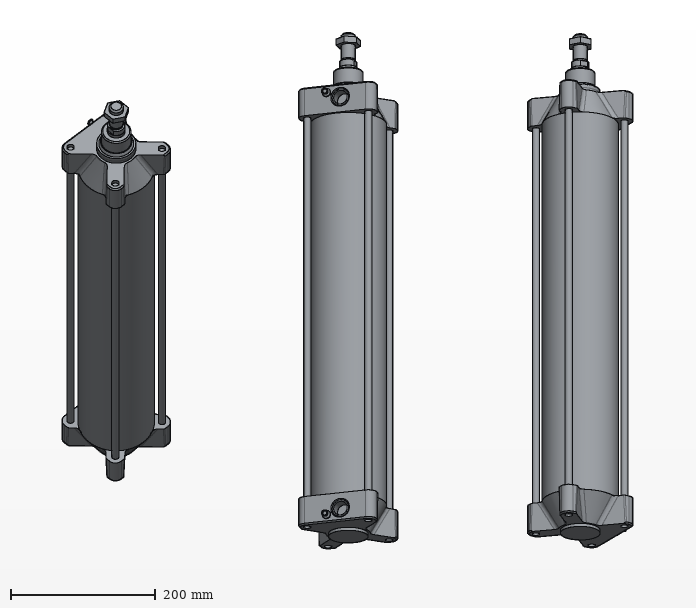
import cadquery as cq
import math

total_height = 733.0
spigot_height = 4.5
cap_height = 41.0
top_cap_outer_z = 642.0
collar_bevel_z = 646.5
collar_top_z = 652.0
gland_base_z = 656.0
gland_top_z = 679.0
bottom_cap_outer_z = spigot_height

cap_width = 113.0
cap_corner_radius = 12.0
cap_edge_chamfer = 2.05
arm_half_width = 12.0
arm_draft = 2.0
arm_end_radius = 3.0
pocket_floor_radius = 7.0
pocket_cone_top_radius = 31.0

pick_margin = 1.0

barrel_diameter = 106.0
tie_rod_diameter = 10.0
tie_rod_offset = 45.0
screw_hole_diameter = 10.0
screw_hole_depth = 6.0

spigot_diameter = 55.0
collar_diameter = 55.0
collar_bevel_diameter = 54.0
collar_cone_diameter = 48.5
gland_root_diameter = 43.0
gland_diameter = 41.0
gland_chamfer = 1.8

port_y = -7.0
port_depth_from_end = 19.0
port_diameter = 20.0
port_seat_diameter = 24.0
port_mouth_diameter = 27.0
port_mouth_depth = 1.5
port_depth = 18.0
vent_y = 12.5
vent_depth_from_end = 11.0
vent_base_diameter = 12.0
vent_neck_diameter = 6.0
vent_head_diameter = 9.0
vent_base_length = 1.5
vent_cone_length = 1.8
vent_head_length = 1.1
vent_reach = 9.0

rod_diameter = 25.0
rod_flats_diameter = 24.0
rod_flats_width = 21.0
rod_flats_base_z = 684.0
rod_flats_top_z = 693.0
neck_diameter = 18.0
thread_diameter = 20.0
thread_base_z = 695.5
thread_tip_chamfer = 2.6

nut_flats_width = 30.0
nut_base_z = 716.0
nut_height = 9.0

half_width = cap_width / 2
nut_corner_diameter = nut_flats_width / math.cos(math.pi / 6)
top_cap_inner_z = top_cap_outer_z - cap_height
bottom_cap_inner_z = bottom_cap_outer_z + cap_height
barrel_length = top_cap_inner_z - bottom_cap_inner_z


def cylinder(diameter, base_z, top_z):
    return cq.Workplane("XY").workplane(offset=base_z).circle(diameter / 2).extrude(top_z - base_z)


def revolved(profile):
    """Turn a closed (radius, height) outline about the Z axis."""
    return cq.Workplane("XZ").polyline(profile).close().revolve(360, (0, 0, 0), (0, 1, 0))


def pocket(angle):
    """Recess between two diagonal arms; its floor is a cone that widens towards the barrel."""
    arm_offset = arm_half_width * math.sqrt(2)
    reach = cap_width
    wedge = (
        cq.Workplane("XY")
        .workplane(offset=cap_height)
        .polyline([(arm_offset, 0), (reach, reach - arm_offset), (reach, arm_offset - reach)])
        .close()
        .extrude(-cap_height, taper=arm_draft)
    )
    cone = revolved(
        [(0, 0), (barrel_diameter / 2, 0), (pocket_cone_top_radius, cap_height), (0, cap_height)]
    )
    floor_corners = cq.selectors.BoxSelector(
        (0, -half_width, pick_margin), (half_width, half_width, cap_height - pick_margin)
    )
    recess = wedge.cut(cone).edges(floor_corners).fillet(pocket_floor_radius)
    return recess.rotate((0, 0, 0), (0, 0, 1), angle)


def port():
    """Blind port with a shallow conical seat around its mouth, along +X from the origin."""
    return revolved(
        [
            (0, 0),
            (port_mouth_diameter / 2, 0),
            (port_seat_diameter / 2, port_mouth_depth),
            (port_diameter / 2, port_mouth_depth),
            (port_diameter / 2, port_depth),
            (0, port_depth),
        ]
    ).rotate((0, 0, 0), (0, 1, 0), 90)


def vent_screw():
    """Screw with a base flange, a waist and a head, along -X from the origin."""
    head_start = vent_reach - vent_head_length
    return revolved(
        [
            (0, 0),
            (vent_base_diameter / 2, 0),
            (vent_base_diameter / 2, vent_base_length),
            (vent_neck_diameter / 2, vent_base_length + vent_cone_length),
            (vent_neck_diameter / 2, head_start),
            (vent_head_diameter / 2, head_start),
            (vent_head_diameter / 2, vent_reach),
            (0, vent_reach),
        ]
    ).rotate((0, 0, 0), (0, 1, 0), -90)


def round_arm_ends(cap):
    """Round the upright edges where the pocket walls run out on the -Y, +X and +Y faces."""
    reach = half_width - cap_corner_radius - pick_margin
    for angle in (-90, 0, 90):
        outer_face = cq.selectors.BoxSelector(
            (half_width - pick_margin, -reach, pick_margin),
            (half_width + pick_margin, reach, cap_height - pick_margin),
        )
        turned = cap.rotate((0, 0, 0), (0, 0, 1), -angle)
        cap = turned.edges(outer_face).fillet(arm_end_radius).rotate((0, 0, 0), (0, 0, 1), angle)
    return cap


def end_cap():
    """Cap with its inner face at Z = 0 and its outer face on top."""
    block = (
        cq.Workplane("XY")
        .rect(cap_width, cap_width)
        .extrude(cap_height)
        .edges("|Z")
        .fillet(cap_corner_radius)
    )
    cap = block
    for angle in (-90, 0, 90):
        cap = cap.cut(pocket(angle))
    cap = round_arm_ends(cap)
    cap = cap.intersect(block.faces(">Z").chamfer(cap_edge_chamfer))
    screw_holes = (
        cq.Workplane("XY")
        .workplane(offset=cap_height - screw_hole_depth)
        .rect(2 * tie_rod_offset, 2 * tie_rod_offset, forConstruction=True)
        .vertices()
        .circle(screw_hole_diameter / 2)
        .extrude(screw_hole_depth)
    )
    cap = cap.cut(screw_holes)
    cap = cap.cut(port().translate((-half_width, port_y, cap_height - port_depth_from_end)))
    return cap.union(vent_screw().translate((-half_width, vent_y, cap_height - vent_depth_from_end)))


def make_housing():
    """Barrel, tie rods, both end caps and the gland that guides the rod."""
    housing = cylinder(barrel_diameter, bottom_cap_inner_z, top_cap_inner_z)
    tie_rods = (
        cq.Workplane("XY")
        .workplane(offset=bottom_cap_inner_z)
        .rect(2 * tie_rod_offset, 2 * tie_rod_offset, forConstruction=True)
        .vertices()
        .circle(tie_rod_diameter / 2)
        .extrude(barrel_length)
    )
    top_cap = end_cap().translate((0, 0, top_cap_inner_z))
    bottom_cap = end_cap().mirror("XY").translate((0, 0, bottom_cap_inner_z))
    gland = revolved(
        [
            (0, top_cap_outer_z),
            (collar_diameter / 2, top_cap_outer_z),
            (collar_diameter / 2, collar_bevel_z),
            (collar_bevel_diameter / 2, collar_top_z),
            (collar_cone_diameter / 2, collar_top_z),
            (gland_root_diameter / 2, gland_base_z),
            (gland_diameter / 2, gland_base_z),
            (gland_diameter / 2, gland_top_z - gland_chamfer),
            (gland_diameter / 2 - gland_chamfer, gland_top_z),
            (0, gland_top_z),
        ]
    )
    spigot = cylinder(spigot_diameter, 0, bottom_cap_outer_z)
    rod_bore = cylinder(rod_diameter, top_cap_outer_z, gland_top_z)
    housing = housing.union(tie_rods).union(top_cap).union(bottom_cap)
    return housing.union(gland).union(spigot).cut(rod_bore)


def make_rod():
    """Piston rod with spanner flats, a neck and a threaded end."""
    shank = cylinder(rod_diameter, top_cap_outer_z, rod_flats_base_z)
    flats = cylinder(rod_flats_diameter, rod_flats_base_z, rod_flats_top_z).intersect(
        cq.Workplane("XY")
        .workplane(offset=rod_flats_base_z)
        .rect(rod_flats_diameter, rod_flats_width)
        .extrude(rod_flats_top_z - rod_flats_base_z)
    )
    neck = cylinder(neck_diameter, rod_flats_top_z, thread_base_z)
    thread = cylinder(thread_diameter, thread_base_z, total_height).faces(">Z").chamfer(thread_tip_chamfer)
    return shank.union(flats).union(neck).union(thread)


def make_nut():
    """Hexagon nut with its corners along X."""
    return (
        cq.Workplane("XY")
        .workplane(offset=nut_base_z)
        .polygon(6, nut_corner_diameter)
        .circle(thread_diameter / 2)
        .extrude(nut_height)
    )


housing = make_housing()
rod = make_rod()
nut = make_nut()
result = cq.Compound.makeCompound([housing.solids().val(), rod.solids().val(), nut.val()])